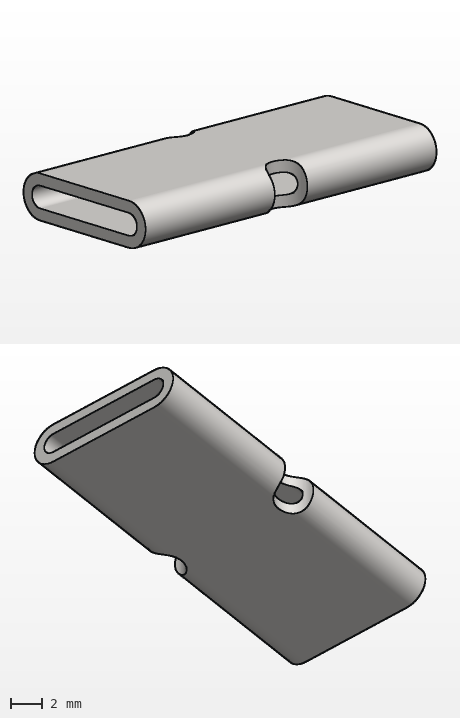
import cadquery as cq

width = 11.3
length = 25.0
height = 3.1
wall = 0.8
notch_width = 2.8
notch_depth = 1.7


def flat_oval_bar(size_x, size_z):
    """Solid bar along Y with a flat-oval section, centred on the origin."""
    return (
        cq.Workplane("XZ")
        .slot2D(size_x, size_z)
        .extrude(length / 2, both=True)
    )


def side_notch(side):
    """Round-bottomed cutter through Z, opening at the +X (side=1) or -X (side=-1) edge."""
    reach = 2 * notch_depth
    return (
        cq.Workplane("XY")
        .center(side * width / 2, 0)
        .slot2D(reach, notch_width)
        .extrude(height, both=True)
    )


tube = flat_oval_bar(width, height).cut(flat_oval_bar(width - 2 * wall, height - 2 * wall))

for side in (-1, 1):
    tube = tube.cut(side_notch(side))

result = tube